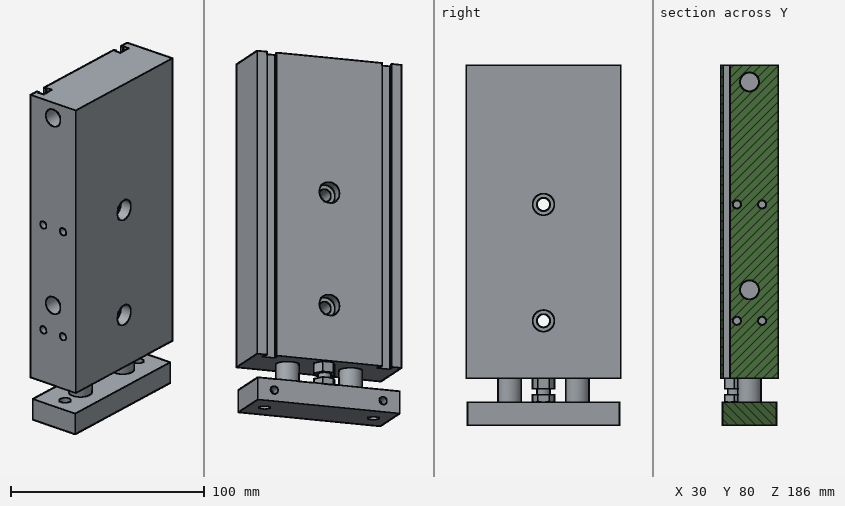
import cadquery as cq
import math

total_height = 186.0
housing_width = 30.0
housing_length = 80.0
housing_bottom = 24.2
housing_height = total_height - housing_bottom

slot_offset = 31.8
slot_mouth = 5.4
slot_mouth_depth = 1.5
slot_inner_width = 6.9
slot_depth = 4.8

mount_levels = (54.0, 114.0)
mount_diameter = 6.7
mount_bore_diameter = 11.2
mount_bore_depth = 6.5

port_levels = (70.0, 177.3)
port_diameter = 9.7
port_depth = 9.7
side_hole_offset = 6.5
tapped_diameter = 4.0
tapped_depth = 7.5

plate_width = 28.0
plate_length = 78.7
plate_thickness = 11.9
rod_diameter = 12.0
rod_offset = 17.5
plate_hole_offset = 30.1
plate_hole_diameter = 6.0

bolt_x = -7.8
hex_flats = 10.0
hex_corners = hex_flats / math.cos(math.pi / 6)
shank_diameter = 6.9
head_height = 5.4
nut_height = 3.9
nut_chamfer_angle = math.radians(30)


def cylinder_along_x(diameter, length, start):
    """Cylinder running toward +X from the point start."""
    return cq.Workplane(cq.Solid.makeCylinder(diameter / 2, length, cq.Vector(*start), cq.Vector(1, 0, 0)))


def cylinder_along_y(diameter, length, start):
    """Cylinder running toward +Y from the point start."""
    return cq.Workplane(cq.Solid.makeCylinder(diameter / 2, length, cq.Vector(*start), cq.Vector(0, 1, 0)))


def t_slot(y):
    """Full-height T-slot cutter in the -X face, centred on y."""
    face_x = -housing_width / 2
    base = cq.Workplane("XY", origin=(face_x, y, housing_bottom))
    mouth = base.box(slot_depth, slot_mouth, housing_height, centered=(False, True, False))
    inner = base.center(slot_mouth_depth, 0).box(
        slot_depth - slot_mouth_depth, slot_inner_width, housing_height, centered=(False, True, False)
    )
    return mouth.union(inner)


def mount_hole(z):
    """Through hole along X with a counterbore at each end."""
    face_x = housing_width / 2
    hole = cylinder_along_x(mount_diameter, housing_width, (-face_x, 0, z))
    for start_x in (-face_x, face_x - mount_bore_depth):
        hole = hole.union(cylinder_along_x(mount_bore_diameter, mount_bore_depth, (start_x, 0, z)))
    return hole


def make_housing():
    body = cq.Workplane("XY", origin=(0, 0, housing_bottom)).box(
        housing_width, housing_length, housing_height, centered=(True, True, False)
    )
    for y in (-slot_offset, slot_offset):
        body = body.cut(t_slot(y))
    face_y = -housing_length / 2
    for z in mount_levels:
        body = body.cut(mount_hole(z))
        for x in (-side_hole_offset, side_hole_offset):
            body = body.cut(cylinder_along_y(tapped_diameter, tapped_depth, (x, face_y, z)))
    for z in port_levels:
        body = body.cut(cylinder_along_y(port_diameter, port_depth, (0, face_y, z)))
    return body


def make_rod_plate():
    """Tool plate with the guide rods rising to the underside of the housing."""
    body = cq.Workplane("XY").box(plate_width, plate_length, plate_thickness, centered=(True, True, False))
    for side in (-1, 1):
        rod = (
            cq.Workplane("XY", origin=(0, side * rod_offset, plate_thickness))
            .circle(rod_diameter / 2)
            .extrude(housing_bottom - plate_thickness)
        )
        body = body.union(rod)
        hole_y = side * plate_hole_offset
        vertical_hole = (
            cq.Workplane("XY", origin=(0, hole_y, 0)).circle(plate_hole_diameter / 2).extrude(plate_thickness)
        )
        face_hole = cylinder_along_x(
            tapped_diameter, tapped_depth, (-plate_width / 2, hole_y, plate_thickness / 2)
        )
        body = body.cut(vertical_hole).cut(face_hole)
    return body


def hexagon(bottom, height):
    """Hexagonal prism with two flats facing along X."""
    return (
        cq.Workplane("XY", origin=(bolt_x, 0, bottom))
        .transformed(rotate=(0, 0, 90))
        .polygon(6, hex_corners)
        .extrude(height)
    )


def make_stop_bolt():
    """Bolt between plate and housing; the lower corners of its locknut are turned off."""
    axis = cq.Workplane("XY", origin=(bolt_x, 0, plate_thickness))
    shank = axis.circle(shank_diameter / 2).extrude(housing_bottom - plate_thickness)
    head = hexagon(housing_bottom - head_height, head_height)
    cone_radius = hex_flats / 2 + nut_height / math.tan(nut_chamfer_angle)
    cone = cq.Workplane(
        cq.Solid.makeCone(hex_flats / 2, cone_radius, nut_height, cq.Vector(bolt_x, 0, plate_thickness))
    )
    nut = hexagon(plate_thickness, nut_height).intersect(cone)
    return shank.union(head).union(nut)


housing = make_housing()
rod_plate = make_rod_plate()
stop_bolt = make_stop_bolt()

result = cq.Compound.makeCompound([housing.val(), rod_plate.val(), stop_bolt.val()])